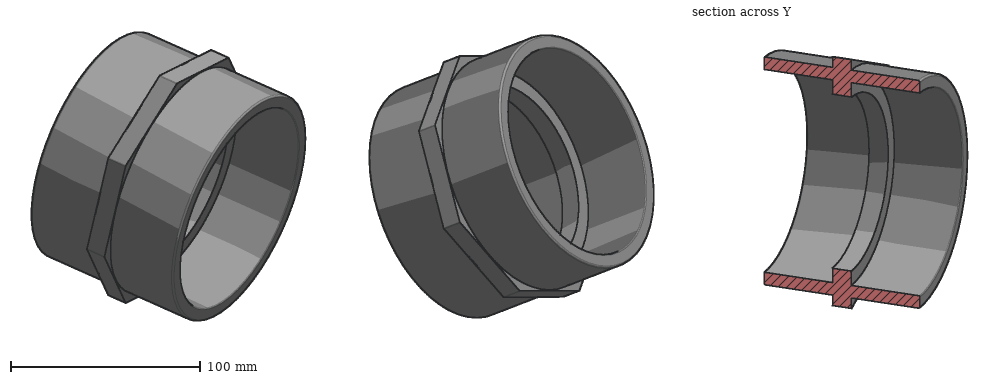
import cadquery as cq
import math

length = 89.6
body_diameter = 129.0
bore_diameter = 98.1
rim_radius = 1.0

socket_diameter = 114.3
mouth_radius = 0.5
stop_width = 11.0

collar_width = 11.0
collar_sides = 8
collar_across_flats = 130.0
collar_corner_radius = 0.5


def cylinder(diameter, width):
    """Cylinder along X, centred on the origin."""
    return cq.Workplane("YZ").circle(diameter / 2).extrude(width / 2, both=True)


def body():
    """Outer cylinder with rounded rims."""
    return cylinder(body_diameter, length).faces("<X or >X").edges().fillet(rim_radius)


def collar():
    """Octagonal prism with corners on the Y and Z axes, slightly rounded."""
    across_corners = collar_across_flats / math.cos(math.pi / collar_sides)
    outline = cq.Workplane("YZ").polygon(collar_sides, across_corners)
    prism = outline.extrude(collar_width / 2, both=True)
    return prism.edges("|X").fillet(collar_corner_radius)


def socket(end):
    """Volume removed from one end (-1 or +1 along X) down to the stop."""
    depth = (length - stop_width) / 2
    mouth_plane = cq.Workplane("YZ").workplane(offset=end * length / 2)
    return mouth_plane.circle(socket_diameter / 2).extrude(-end * depth)


def round_mouths(part):
    """Round the inner edge of each end face."""
    for end_face in ("<X", ">X"):
        mouth_edge = part.faces(end_face).edges(cq.selectors.RadiusNthSelector(0))
        part = mouth_edge.fillet(mouth_radius)
    return part


result = body().union(collar()).cut(cylinder(bore_diameter, length))
for end in (-1, 1):
    result = result.cut(socket(end))
result = round_mouths(result)